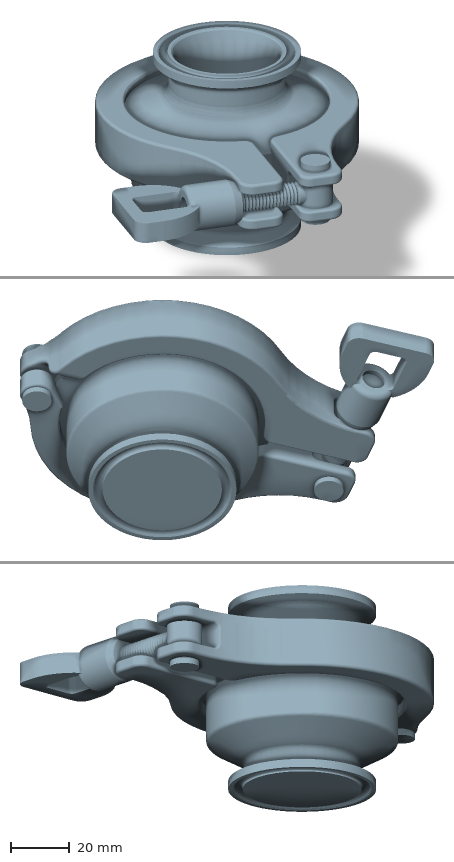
import cadquery as cq
import math


SELECT_MARGIN = 0.2

TOP_Z = 26.4
TOTAL_HEIGHT = 65.0
BOTTOM_Z = TOP_Z - TOTAL_HEIGHT
FERRULE_RADIUS = 50.5 / 2
FERRULE_RIM = 2.85
FERRULE_TAPER = 20.0
NECK_RADIUS = 40.0 / 2
FERRULE_FILLET = 2.0
BODY_NECK_FILLET = 1.2
BODY_RADIUS = 65.5 / 2
BODY_CONE_Z = -22.0
BODY_CONE_SLOPE = 30.0
BODY_EDGE_FILLET = 1.5
UPPER_FLANGE_RADIUS = 77.5 / 2
LOWER_FLANGE_RADIUS = 77.7 / 2
FLANGE_JOINT_Z = 1.2
FLANGE_TOP_Z = 4.0
FLANGE_BOTTOM_Z = -3.3
BONNET_SLOPE = 22.0
BONNET_FILLET = 4.0
FUNNEL_MOUTH_RADIUS = 18.7
FUNNEL_FLOOR_RADIUS = 22.6 / 2
FUNNEL_FLOOR_Z = 2.0
MOUTH_CHAMFER = 0.5
GASKET_GROOVE_RADIUS = 43.6 / 2
GASKET_GROOVE_SECTION = 1.5
GASKET_GROOVE_LIP = 0.4

CLAMP_HALF_HEIGHT = 8.5
CLAMP_RADIUS = 45.0
CLAMP_BORE = 35.0
CLAMP_EDGE_FILLET = 1.0
HALF_GAP = 3.0
ARM_HALF_WIDTH = 18.5
ARM_END_X = 71.7
SWEEP_ANGLE = 45.0
ARM_OUTER_CORNER = 5.0
ARM_INNER_CORNER = 4.0
BORE_CORNER = 3.5
HINGE_X = -45.2
KNUCKLE_RADIUS = 5.8
KNUCKLE_BLEND = 39.4
KNUCKLE_END_ANGLE = 41.0
KNUCKLE_GAP = 1.0
STEP_START_Y = 14.3
SLOT_START_X = 55.5
SLOT_HALF_HEIGHT = 4.5
SLOT_CORNER = 2.0
SLOT_MOUTH_FILLET = 0.8

PIN_HEAD_RADIUS = 10.0 / 2
PIN_SHANK_RADIUS = 6.0 / 2
PIN_COLLAR_RADIUS = 4.2
PIN_HALF_LENGTH = 11.0
PIN_LOWER_HEAD_HEIGHT = 2.0

BOLT_X = 63.5
BOLT_Z = -0.5
BOLT_PIVOT_Y = 10.3
BOLT_RADIUS = 8.0 / 2
THREAD_ROOT_RADIUS = 6.5 / 2
THREAD_PITCH = 1.25
EYE_RADIUS = 6.0
EYE_HALF_HEIGHT = 4.3
SLEEVE_RADIUS = 16.0 / 2
SLEEVE_START_Y = -18.0
SLEEVE_END_Y = -36.9
SLEEVE_START_CHAMFER = 3.0
SLEEVE_START_INSET = 1.0
SLEEVE_END_FILLET = 1.9
SLEEVE_RECESS_DEPTH = 2.0
HANDLE_HALF_WIDTH = 15.5
HANDLE_END_Y = -58.74
HANDLE_THICKNESS = 7.3
HANDLE_CORNER = 4.2
HANDLE_SHOULDER_Y = -49.4
HANDLE_SHOULDER_RADIUS = 19.3
WINDOW_WIDTH = 13.2
WINDOW_END_Y = -53.9
WINDOW_CORNER = 2.0


def tan_deg(angle):
    return math.tan(math.radians(angle))


def polar(radius, angle, center_x=0.0):
    """Point at an angle in degrees around (center_x, 0)."""
    turn = math.radians(angle)
    return (center_x + radius * math.cos(turn), radius * math.sin(turn))


def revolve_about_z(points):
    return cq.Workplane("XZ").polyline(points).close().revolve(360, (0, 0, 0), (0, 1, 0))


def fillet_circles(body, circles):
    """Round full circular edges given as (radius, z, fillet radius)."""
    for radius, z, fillet in circles:
        rings = [
            edge for edge in body.edges("%CIRCLE").vals()
            if abs(edge.radius() - radius) < SELECT_MARGIN and abs(edge.Center().z - z) < SELECT_MARGIN
        ]
        body = body.newObject(rings).fillet(fillet)
    return body


def make_valve_body():
    taper_drop = (FERRULE_RADIUS - NECK_RADIUS) * tan_deg(FERRULE_TAPER)
    top_rim_z = TOP_Z - FERRULE_RIM
    top_neck_z = top_rim_z - taper_drop
    bottom_rim_z = BOTTOM_Z + FERRULE_RIM
    bottom_neck_z = bottom_rim_z + taper_drop
    bonnet_neck_z = FLANGE_TOP_Z + (UPPER_FLANGE_RADIUS - NECK_RADIUS) * tan_deg(BONNET_SLOPE)
    body_neck_z = BODY_CONE_Z - (BODY_RADIUS - NECK_RADIUS) * tan_deg(BODY_CONE_SLOPE)
    body = revolve_about_z([
        (0, TOP_Z),
        (FERRULE_RADIUS, TOP_Z),
        (FERRULE_RADIUS, top_rim_z),
        (NECK_RADIUS, top_neck_z),
        (NECK_RADIUS, bonnet_neck_z),
        (UPPER_FLANGE_RADIUS, FLANGE_TOP_Z),
        (UPPER_FLANGE_RADIUS, FLANGE_JOINT_Z),
        (LOWER_FLANGE_RADIUS, FLANGE_JOINT_Z),
        (LOWER_FLANGE_RADIUS, FLANGE_BOTTOM_Z),
        (BODY_RADIUS, FLANGE_BOTTOM_Z - (LOWER_FLANGE_RADIUS - BODY_RADIUS) * tan_deg(FERRULE_TAPER)),
        (BODY_RADIUS, BODY_CONE_Z),
        (NECK_RADIUS, body_neck_z),
        (NECK_RADIUS, bottom_neck_z),
        (FERRULE_RADIUS, bottom_rim_z),
        (FERRULE_RADIUS, BOTTOM_Z),
        (0, BOTTOM_Z),
    ])
    body = fillet_circles(body, [
        (NECK_RADIUS, top_neck_z, FERRULE_FILLET),
        (NECK_RADIUS, bonnet_neck_z, BONNET_FILLET),
        (BODY_RADIUS, BODY_CONE_Z, BODY_EDGE_FILLET),
        (NECK_RADIUS, body_neck_z, BODY_NECK_FILLET),
        (NECK_RADIUS, bottom_neck_z, FERRULE_FILLET),
    ])
    funnel = revolve_about_z([
        (0, TOP_Z),
        (FUNNEL_MOUTH_RADIUS + MOUTH_CHAMFER, TOP_Z),
        (FUNNEL_MOUTH_RADIUS, TOP_Z - MOUTH_CHAMFER),
        (FUNNEL_FLOOR_RADIUS, FUNNEL_FLOOR_Z),
        (0, FUNNEL_FLOOR_Z),
    ])
    body = body.cut(funnel)
    top_groove = make_gasket_groove()
    bottom_groove = top_groove.mirror("XY").translate((0, 0, TOP_Z + BOTTOM_Z))
    return body.cut(top_groove).cut(bottom_groove)


def make_gasket_groove():
    """Semicircular ring groove in the top ferrule face with a chamfered outer edge."""
    inner = GASKET_GROOVE_RADIUS - GASKET_GROOVE_SECTION
    outer = GASKET_GROOVE_RADIUS + GASKET_GROOVE_SECTION
    lip_z = TOP_Z - GASKET_GROOVE_LIP
    return (
        cq.Workplane("XZ")
        .moveTo(inner, TOP_Z)
        .lineTo(outer + GASKET_GROOVE_LIP, TOP_Z)
        .lineTo(outer, lip_z)
        .threePointArc((GASKET_GROOVE_RADIUS, lip_z - GASKET_GROOVE_SECTION), (inner, lip_z))
        .close()
        .revolve(360, (0, 0, 0), (0, 1, 0))
    )


def clamp_half_outline():
    """Closed plan outline of the half on the -Y side."""
    sweep_center = (CLAMP_RADIUS - ARM_HALF_WIDTH) / (math.sqrt(2) - 1)
    sweep_radius = sweep_center - ARM_HALF_WIDTH

    reach = CLAMP_RADIUS + KNUCKLE_BLEND
    blend_to_knuckle = KNUCKLE_BLEND + KNUCKLE_RADIUS
    blend_cos = (reach**2 + HINGE_X**2 - blend_to_knuckle**2) / (2 * reach * abs(HINGE_X))
    ring_angle = 180 + math.degrees(math.acos(blend_cos))
    blend_x, blend_y = polar(reach, ring_angle)
    knuckle_angle = math.degrees(math.atan2(blend_y, blend_x - HINGE_X)) + 360
    blend_mid_angle = (ring_angle + knuckle_angle) / 2 - 180
    mid_turn = math.radians(blend_mid_angle)
    blend_mid = (blend_x + KNUCKLE_BLEND * math.cos(mid_turn), blend_y + KNUCKLE_BLEND * math.sin(mid_turn))

    end_x, end_y = polar(KNUCKLE_RADIUS, KNUCKLE_END_ANGLE, HINGE_X)
    run_x, run_y = polar(1.0, KNUCKLE_END_ANGLE - 90)
    along = end_x * run_x + end_y * run_y
    run = -along - math.sqrt(along**2 - end_x**2 - end_y**2 + CLAMP_BORE**2)
    bore_end = (end_x + run * run_x, end_y + run * run_y)

    bore_start_x = math.sqrt(CLAMP_BORE**2 - HALF_GAP**2)
    sweep_mid_turn = math.radians(90 + SWEEP_ANGLE / 2)
    sweep_mid_x = sweep_center + sweep_radius * math.cos(sweep_mid_turn)
    sweep_mid_y = -sweep_center + sweep_radius * math.sin(sweep_mid_turn)
    ring_mid_angle = (ring_angle + 360 - SWEEP_ANGLE) / 2
    knuckle_mid_angle = (knuckle_angle + KNUCKLE_END_ANGLE) / 2
    return (
        cq.Workplane("XY").workplane(offset=-CLAMP_HALF_HEIGHT)
        .moveTo(bore_start_x, -HALF_GAP)
        .lineTo(ARM_END_X, -HALF_GAP)
        .lineTo(ARM_END_X, -ARM_HALF_WIDTH)
        .lineTo(sweep_center, -ARM_HALF_WIDTH)
        .threePointArc((sweep_mid_x, sweep_mid_y), polar(CLAMP_RADIUS, -SWEEP_ANGLE))
        .threePointArc(polar(CLAMP_RADIUS, ring_mid_angle), polar(CLAMP_RADIUS, ring_angle))
        .threePointArc(blend_mid, polar(KNUCKLE_RADIUS, knuckle_angle, HINGE_X))
        .threePointArc(polar(KNUCKLE_RADIUS, knuckle_mid_angle, HINGE_X), (end_x, end_y))
        .lineTo(*bore_end)
        .threePointArc((0, -CLAMP_BORE), (bore_start_x, -HALF_GAP))
        .close()
    )


def round_upright_edge(body, x, y, radius):
    return body.edges("|Z").edges(cq.selectors.NearestToPointSelector((x, y, 0))).fillet(radius)


def make_hinge_step():
    """Space under the upper knuckle, bounded by an S of two quarter arcs."""
    step_radius = (CLAMP_HALF_HEIGHT + KNUCKLE_GAP) / 2
    mid_y = -STEP_START_Y + step_radius
    mid_z = -CLAMP_HALF_HEIGHT + step_radius
    bow = step_radius * math.sin(math.radians(45))
    inner_end = KNUCKLE_RADIUS * 2
    start_x = HINGE_X - 2 * KNUCKLE_RADIUS
    end_x = HINGE_X / 2
    below = -2 * CLAMP_HALF_HEIGHT
    return (
        cq.Workplane("YZ").workplane(offset=start_x)
        .moveTo(-STEP_START_Y, -CLAMP_HALF_HEIGHT)
        .threePointArc((-STEP_START_Y + bow, mid_z - bow), (mid_y, mid_z))
        .threePointArc((mid_y + step_radius - bow, mid_z + bow), (mid_y + step_radius, KNUCKLE_GAP))
        .lineTo(inner_end, KNUCKLE_GAP)
        .lineTo(inner_end, below)
        .lineTo(-STEP_START_Y, below)
        .close()
        .extrude(end_x - start_x)
    )


def make_clamp_half():
    """Half on the -Y side, carrying the upper knuckle."""
    half = clamp_half_outline().extrude(2 * CLAMP_HALF_HEIGHT)
    half = round_upright_edge(half, ARM_END_X, -ARM_HALF_WIDTH, ARM_OUTER_CORNER)
    half = round_upright_edge(half, ARM_END_X, -HALF_GAP, ARM_INNER_CORNER)
    half = round_upright_edge(half, CLAMP_BORE, -HALF_GAP, BORE_CORNER)
    half = half.cut(make_hinge_step())

    hinge_zone = cq.selectors.BoxSelector(
        (2 * HINGE_X, -CLAMP_RADIUS, -CLAMP_RADIUS), (HINGE_X / 2, CLAMP_RADIUS, KNUCKLE_GAP + SELECT_MARGIN))
    step_seams = half.edges("|X").edges(hinge_zone).vals()
    rims = [edge for edge in half.edges("not |Z").vals() if not any(edge.isSame(seam) for seam in step_seams)]
    half = half.newObject(rims).fillet(CLAMP_EDGE_FILLET)

    slot_end_x = ARM_END_X + SLOT_CORNER
    slot = (
        cq.Workplane("XY")
        .box(slot_end_x - SLOT_START_X, ARM_HALF_WIDTH * 2, 2 * SLOT_HALF_HEIGHT)
        .edges("|Y and <X").fillet(SLOT_CORNER)
        .translate(((SLOT_START_X + slot_end_x) / 2, -ARM_HALF_WIDTH, 0))
    )
    half = half.cut(slot)
    mouth_zone = cq.selectors.BoxSelector(
        (SLOT_START_X - SLOT_CORNER, -CLAMP_RADIUS, -SLOT_HALF_HEIGHT - SELECT_MARGIN),
        (ARM_END_X + SLOT_CORNER, 0, SLOT_HALF_HEIGHT + SELECT_MARGIN))
    return half.newObject(half.edges(mouth_zone).edges("not |Y").vals()).fillet(SLOT_MOUTH_FILLET)


def make_pin(x, y):
    """Riveted pin with a plain upper head and a collar under the lower head."""
    def stage(radius, z_start, z_end):
        return cq.Workplane("XY", origin=(x, y, z_start)).circle(radius).extrude(z_end - z_start)

    lower_head_top = -PIN_HALF_LENGTH + PIN_LOWER_HEAD_HEIGHT
    pin = stage(PIN_SHANK_RADIUS, -PIN_HALF_LENGTH, PIN_HALF_LENGTH)
    pin = pin.union(stage(PIN_HEAD_RADIUS, CLAMP_HALF_HEIGHT, PIN_HALF_LENGTH))
    pin = pin.union(stage(PIN_HEAD_RADIUS, -PIN_HALF_LENGTH, lower_head_top))
    return pin.union(stage(PIN_COLLAR_RADIUS, lower_head_top, -CLAMP_HALF_HEIGHT))


def make_swing_bolt():
    """Threaded rod with an eye around the latch pin."""
    thread_start = BOLT_PIVOT_Y - EYE_RADIUS - THREAD_PITCH / 2
    thread_end = SLEEVE_END_Y + SLEEVE_RECESS_DEPTH
    turns = int((thread_start - SLEEVE_START_Y) / THREAD_PITCH)
    profile = cq.Workplane("XY").moveTo(BOLT_X, BOLT_PIVOT_Y)
    profile = profile.lineTo(BOLT_X + BOLT_RADIUS, BOLT_PIVOT_Y)
    for turn in range(turns):
        crest_y = thread_start - turn * THREAD_PITCH
        profile = profile.lineTo(BOLT_X + BOLT_RADIUS, crest_y)
        profile = profile.lineTo(BOLT_X + THREAD_ROOT_RADIUS, crest_y - THREAD_PITCH / 2)
    profile = profile.lineTo(BOLT_X + BOLT_RADIUS, thread_start - turns * THREAD_PITCH)
    profile = profile.lineTo(BOLT_X + BOLT_RADIUS, thread_end).lineTo(BOLT_X, thread_end).close()
    rod = profile.revolve(360, (BOLT_X, 0, 0), (BOLT_X, 1, 0))
    eye = (
        cq.Workplane("XY", origin=(BOLT_X, BOLT_PIVOT_Y, -EYE_HALF_HEIGHT))
        .circle(EYE_RADIUS).extrude(2 * EYE_HALF_HEIGHT)
    )
    return rod.union(eye)


def make_wing_nut():
    """Sleeve around the bolt with a flat windowed handle."""
    length = SLEEVE_START_Y - SLEEVE_END_Y
    sleeve = cq.Workplane("XZ", origin=(BOLT_X, SLEEVE_START_Y, 0)).circle(SLEEVE_RADIUS).extrude(length)
    sleeve = sleeve.faces(">Y").chamfer(SLEEVE_START_CHAMFER, SLEEVE_START_INSET)
    sleeve = sleeve.faces("<Y").edges().fillet(SLEEVE_END_FILLET)

    shoulder_center_x = HANDLE_HALF_WIDTH - HANDLE_SHOULDER_RADIUS
    shoulder_turn = math.acos((SLEEVE_RADIUS - shoulder_center_x) / HANDLE_SHOULDER_RADIUS)

    def shoulder_point(fraction, side):
        turn = shoulder_turn * fraction
        x = shoulder_center_x + HANDLE_SHOULDER_RADIUS * math.cos(turn)
        return (BOLT_X + side * x, HANDLE_SHOULDER_Y + HANDLE_SHOULDER_RADIUS * math.sin(turn))

    handle = (
        cq.Workplane("XY", origin=(0, 0, -HANDLE_THICKNESS / 2))
        .moveTo(BOLT_X - HANDLE_HALF_WIDTH, HANDLE_END_Y)
        .lineTo(BOLT_X + HANDLE_HALF_WIDTH, HANDLE_END_Y)
        .lineTo(*shoulder_point(0, 1))
        .threePointArc(shoulder_point(0.5, 1), shoulder_point(1, 1))
        .lineTo(*shoulder_point(1, -1))
        .threePointArc(shoulder_point(0.5, -1), shoulder_point(0, -1))
        .close()
        .extrude(HANDLE_THICKNESS)
        .edges("|Z and <Y").fillet(HANDLE_CORNER)
    )
    window_length = SLEEVE_END_Y - WINDOW_END_Y
    window = (
        cq.Workplane("XY")
        .box(WINDOW_WIDTH, window_length, 2 * HANDLE_THICKNESS)
        .edges("|Z").fillet(WINDOW_CORNER)
        .translate((BOLT_X, (SLEEVE_END_Y + WINDOW_END_Y) / 2, 0))
    )
    recess = (
        cq.Workplane("XZ", origin=(BOLT_X, SLEEVE_END_Y + SLEEVE_RECESS_DEPTH, 0))
        .circle(BOLT_RADIUS).extrude(SLEEVE_RECESS_DEPTH)
    )
    return sleeve.union(handle).cut(window).cut(recess)


lower_half = make_clamp_half()
upper_half = lower_half.rotate((0, 0, 0), (1, 0, 0), 180)
result = (
    make_valve_body()
    .union(lower_half)
    .union(upper_half)
    .union(make_pin(HINGE_X, 0))
    .union(make_pin(BOLT_X, BOLT_PIVOT_Y))
    .union(make_swing_bolt().translate((0, 0, BOLT_Z)))
    .union(make_wing_nut().translate((0, 0, BOLT_Z)))
)